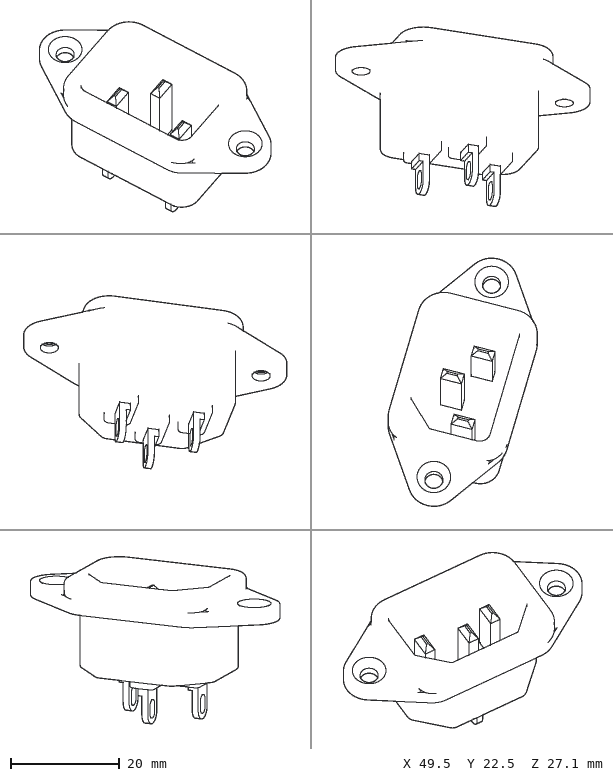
import cadquery as cq
import math

RIM_TOP = 6.0
FLANGE_TOP = 2.95
BODY_BOTTOM = -12.0
BOSS_BOTTOM = -14.0
CAVITY_FLOOR = -10.0
PIN_BOTTOM = -21.15

RIM_LENGTH = 30.0
RIM_WIDTH = 22.5
RIM_CORNER_RADIUS = 4.8
RIM_TOP_ROUND = 1.0
RIM_BASE_ROUND = 0.5
SKIRT_MARGIN = 0.6

OVERALL_LENGTH = 49.5
EAR_RADIUS = 4.75
FLANGE_CORNER_RADIUS = 5.0
HOLE_X = OVERALL_LENGTH / 2 - EAR_RADIUS
HOLE_DIAMETER = 3.3
COUNTERSINK_DIAMETER = 6.2
COUNTERSINK_ANGLE = 90.0
FLANGE_TOP_ROUND = 0.15
FLANGE_BOTTOM_ROUND = 0.3

CAVITY_LENGTH = 24.0
CAVITY_WIDTH = 16.0
CAVITY_CUT = 4.95
CAVITY_CORNER_RADIUS = 2.0
CAVITY_SMALL_ROUND = 0.5

BODY_LENGTH = 27.3
BODY_WIDTH = 19.5
BODY_CORNER_RADIUS = 3.6
BODY_CUT = 6.0
BODY_CUT_ROUND = 1.85
BODY_BOTTOM_ROUND = 0.5
JUNCTION_ROUND = 0.2

BOSS_LENGTH = 5.0
BOSS_WIDTH = 8.2
BOSS_Y = 2.45
BOSS_CORNER_RADIUS = 1.0
BOSS_BOTTOM_ROUND = 0.3

PIN_PITCH = 7.0
BLADE_THICKNESS = 2.05
BLADE_WIDTH = 4.0
BLADE_Y = 2.0
OUTER_PIN_TOP = 1.4
MIDDLE_PIN_TOP = 4.5
TIP_HEIGHT = 1.3
RIDGE_THICKNESS = 0.35
RIDGE_WIDTH = 2.0
TAB_Y = 3.5
TAB_THICKNESS = 1.25
OUTER_STEP_Z = -15.45
MIDDLE_STEP_Z = -15.6
EYE_WIDTH = 2.1
EYE_HEIGHT = 3.5
EYE_Z = -18.3

PINS = [
    (-PIN_PITCH, -1, OUTER_PIN_TOP, OUTER_STEP_Z),
    (0.0, 1, MIDDLE_PIN_TOP, MIDDLE_STEP_Z),
    (PIN_PITCH, -1, OUTER_PIN_TOP, OUTER_STEP_Z),
]

SELECTION_MARGIN = 0.005


def edges_in_plane(solid, z, length, width, center=(0.0, 0.0)):
    """Edges at height z that lie inside a length x width rectangle."""
    x, y = center
    half_x = length / 2 + SELECTION_MARGIN
    half_y = width / 2 + SELECTION_MARGIN
    low = (x - half_x, y - half_y, z - SELECTION_MARGIN)
    high = (x + half_x, y + half_y, z + SELECTION_MARGIN)
    return solid.edges(cq.selectors.BoxSelector(low, high, boundingbox=True))


def rounded_block(length, width, bottom, top, radius, center=(0.0, 0.0)):
    block = cq.Workplane("XY", origin=(*center, bottom)).rect(length, width).extrude(top - bottom)
    return block.edges("|Z").fillet(radius)


def cut_corner_block(length, width, cut, bottom, top, corner_radius, cut_round):
    """Block with its -Y corners rounded and its +Y corners cut off at 45 degrees."""
    x = length / 2
    y = width / 2
    outline = [(-x, -y), (x, -y), (x, y - cut), (x - cut, y), (cut - x, y), (-x, y - cut)]
    block = cq.Workplane("XY", origin=(0, 0, bottom)).polyline(outline).close().extrude(top - bottom)
    block = block.edges("|Z and <Y").fillet(corner_radius)
    cut_edges = cq.selectors.BoxSelector(
        (-length, y - cut - SELECTION_MARGIN, bottom - SELECTION_MARGIN),
        (length, y + SELECTION_MARGIN, top + SELECTION_MARGIN),
        boundingbox=True,
    )
    return block.edges("|Z").edges(cut_edges).fillet(cut_round)


def flange_prism(height):
    """Rounded rectangle joined by tangent lines to a round ear at each end."""
    corner_x = RIM_LENGTH / 2 - RIM_CORNER_RADIUS
    corner_y = RIM_WIDTH / 2 - FLANGE_CORNER_RADIUS
    run = HOLE_X - corner_x
    slope_angle = math.atan2(-corner_y, run)
    distance = math.hypot(run, corner_y)
    normal_angle = slope_angle + math.acos((FLANGE_CORNER_RADIUS - EAR_RADIUS) / distance)

    def on_corner(angle):
        return (
            corner_x + FLANGE_CORNER_RADIUS * math.cos(angle),
            corner_y + FLANGE_CORNER_RADIUS * math.sin(angle),
        )

    rim_start = on_corner(math.pi / 2)
    rim_middle = on_corner((math.pi / 2 + normal_angle) / 2)
    rim_end = on_corner(normal_angle)
    ear_start = (
        HOLE_X + EAR_RADIUS * math.cos(normal_angle),
        EAR_RADIUS * math.sin(normal_angle),
    )

    def placed(point, side_x, side_y):
        return (side_x * point[0], side_y * point[1])

    outline = cq.Workplane("XY").moveTo(*placed(rim_start, -1, 1))
    for side in (1, -1):
        outline = (
            outline.lineTo(*placed(rim_start, side, side))
            .threePointArc(placed(rim_middle, side, side), placed(rim_end, side, side))
            .lineTo(*placed(ear_start, side, side))
            .threePointArc((side * OVERALL_LENGTH / 2, 0), placed(ear_start, side, -side))
            .lineTo(*placed(rim_end, side, -side))
            .threePointArc(placed(rim_middle, side, -side), placed(rim_start, side, -side))
        )
    return outline.close().extrude(height)


def make_flange():
    flange = flange_prism(FLANGE_TOP)
    flange = flange.faces("<Z").edges().fillet(FLANGE_BOTTOM_ROUND)
    return flange.faces(">Z").edges().fillet(FLANGE_TOP_ROUND)


def make_rim():
    rim = rounded_block(RIM_LENGTH, RIM_WIDTH, FLANGE_BOTTOM_ROUND, RIM_TOP, RIM_CORNER_RADIUS)
    return rim.faces(">Z").edges().fillet(RIM_TOP_ROUND)


def make_rim_skirt():
    """Concave round between the rim and the ears, fading out along the edge of the flange."""
    bottom = FLANGE_TOP - FLANGE_TOP_ROUND
    top = FLANGE_TOP + RIM_BASE_ROUND
    core = rounded_block(RIM_LENGTH, RIM_WIDTH, bottom, RIM_TOP, RIM_CORNER_RADIUS)
    plate = rounded_block(
        RIM_LENGTH + 2 * SKIRT_MARGIN,
        RIM_WIDTH + 2 * SKIRT_MARGIN,
        bottom,
        FLANGE_TOP,
        RIM_CORNER_RADIUS + SKIRT_MARGIN,
    )
    skirt = core.union(plate)
    skirt = edges_in_plane(skirt, FLANGE_TOP, RIM_LENGTH, RIM_WIDTH).fillet(RIM_BASE_ROUND)
    fade = flange_prism(top).faces(">Z").edges().chamfer(top - bottom)
    return skirt.intersect(fade)


def make_boss(x, side):
    boss = rounded_block(
        BOSS_LENGTH, BOSS_WIDTH, BOSS_BOTTOM, BODY_BOTTOM, BOSS_CORNER_RADIUS, (x, side * BOSS_Y)
    )
    return boss.faces("<Z").edges().fillet(BOSS_BOTTOM_ROUND)


def make_body():
    body = cut_corner_block(
        BODY_LENGTH, BODY_WIDTH, BODY_CUT, BODY_BOTTOM, 0, BODY_CORNER_RADIUS, BODY_CUT_ROUND
    )
    body = body.faces("<Z").edges().fillet(BODY_BOTTOM_ROUND)
    for x, side, _top, _step_z in PINS:
        body = body.union(make_boss(x, side))
        root = edges_in_plane(body, BODY_BOTTOM, BOSS_LENGTH, BOSS_WIDTH, (x, side * BOSS_Y))
        body = root.fillet(JUNCTION_ROUND)
    return body


def make_cavity():
    cavity = cut_corner_block(
        CAVITY_LENGTH,
        CAVITY_WIDTH,
        CAVITY_CUT,
        CAVITY_FLOOR,
        RIM_TOP,
        CAVITY_CORNER_RADIUS,
        CAVITY_SMALL_ROUND,
    )
    return cavity.faces("<Z").edges().fillet(CAVITY_SMALL_ROUND)


def make_housing(pins):
    housing = make_flange().union(make_body())
    housing = edges_in_plane(housing, 0, BODY_LENGTH, BODY_WIDTH).fillet(JUNCTION_ROUND)
    housing = housing.union(make_rim()).union(make_rim_skirt()).cut(make_cavity())
    housing = edges_in_plane(housing, RIM_TOP, CAVITY_LENGTH, CAVITY_WIDTH).fillet(CAVITY_SMALL_ROUND)
    housing = (
        housing.copyWorkplane(cq.Workplane("XY", origin=(0, 0, FLANGE_TOP)))
        .pushPoints([(-HOLE_X, 0), (HOLE_X, 0)])
        .cskHole(HOLE_DIAMETER, COUNTERSINK_DIAMETER, COUNTERSINK_ANGLE)
    )
    for pin in pins:
        housing = housing.cut(pin)
    return housing


def make_pin(x, side, top, step_z):
    shoulder = top - TIP_HEIGHT
    blade = (
        cq.Workplane("XY", origin=(x, side * BLADE_Y, BODY_BOTTOM))
        .rect(BLADE_THICKNESS, BLADE_WIDTH)
        .extrude(shoulder - BODY_BOTTOM)
    )
    tip = (
        cq.Workplane("XY", origin=(x, side * BLADE_Y, shoulder))
        .rect(BLADE_THICKNESS, BLADE_WIDTH)
        .workplane(offset=TIP_HEIGHT)
        .rect(RIDGE_THICKNESS, RIDGE_WIDTH)
        .loft()
    )

    left = x - BLADE_THICKNESS / 2
    end_z = PIN_BOTTOM + BLADE_WIDTH / 2
    shank = (
        cq.Workplane("YZ", origin=(left, side * TAB_Y, 0))
        .moveTo(-BLADE_WIDTH / 2, BODY_BOTTOM)
        .lineTo(-BLADE_WIDTH / 2, end_z)
        .threePointArc((0, PIN_BOTTOM), (BLADE_WIDTH / 2, end_z))
        .lineTo(BLADE_WIDTH / 2, BODY_BOTTOM)
        .close()
        .extrude(BLADE_THICKNESS)
    )
    relief = cq.Workplane("XY").box(
        BLADE_THICKNESS - TAB_THICKNESS, BLADE_WIDTH, step_z - PIN_BOTTOM, centered=(False, True, False)
    )
    shank = shank.cut(relief.translate((left + TAB_THICKNESS, side * TAB_Y, PIN_BOTTOM)))

    eye = (
        cq.Workplane("YZ", origin=(left, side * TAB_Y, EYE_Z))
        .slot2D(EYE_HEIGHT, EYE_WIDTH, 90)
        .extrude(BLADE_THICKNESS)
    )
    return blade.union(tip).union(shank.cut(eye))


pins = [make_pin(*pin) for pin in PINS]
housing = make_housing(pins)
result = cq.Compound.makeCompound([housing.val(), *[pin.val() for pin in pins]])